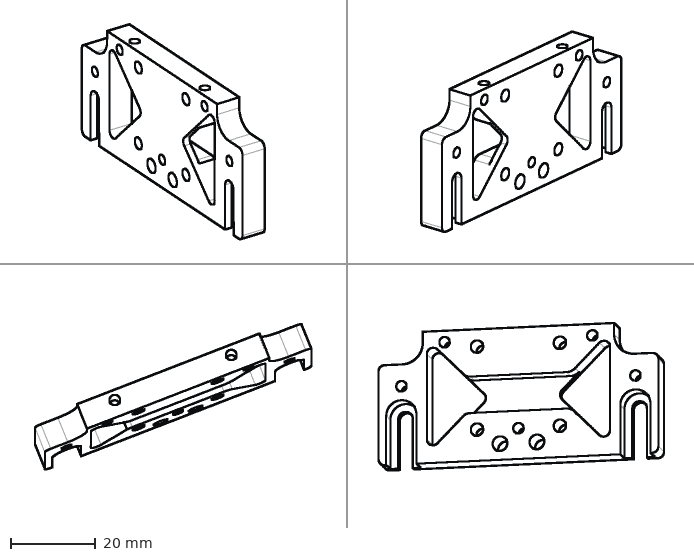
import cadquery as cq
import math

length = 67.5
thickness = 6.35
height = 31.7

body_width = 46.2
ear_height = 24.1
ear_corner_radius = 1.5
shoulder_radius = 4.85

ear_hole_x = 28.2
ear_hole_z = 18.85
slot_width = 3.5
slot_top = 13.6

web_thickness = 1.8
slot_recess_width = 7.3
channel_height = 8.8
channel_edge_radius = 3.0

window_outer_x = 22.1
left_window_tip_x = 8.45
right_window_tip_x = 8.25
window_center_z = 16.0
window_corner_radius = 1.5

small_diameter = 2.5
medium_diameter = 3.0
large_diameter = 3.5
upper_hole_x = 17.8
upper_hole_z = 28.95
pattern_pitch = 20.0
pattern_bottom_z = 7.55
center_hole_z = 7.4
lower_hole_x = 4.45
lower_hole_z = 3.9

top_hole_spacing = 29.5
top_hole_center_x = -0.3
top_hole_y = 2.35
top_hole_depth = 6.75


def front_plane(front_y=0):
    """Sketch plane facing the front; negative distances extrude towards the rear."""
    return cq.Workplane("XZ", origin=(0, front_y, 0))


def make_plate():
    """Tall body with lower rounded ears, blended by concave shoulders."""
    ears = front_plane().rect(length, ear_height).extrude(-thickness)
    ears = ears.translate((0, 0, ear_height / 2))
    ears = ears.edges("|Y").fillet(ear_corner_radius)
    body = front_plane().rect(body_width, height).extrude(-thickness)
    body = body.translate((0, 0, height / 2))
    plate = ears.union(body)
    half_body = body_width / 2
    margin = 0.7
    inner_corners = cq.selectors.BoxSelector(
        (-half_body - margin, -margin, ear_height - margin),
        (half_body + margin, thickness + margin, ear_height + margin),
    )
    return plate.edges("|Y").edges(inner_corners).fillet(shoulder_radius)


def make_slot(side, width, front_y):
    """Round-topped slot open at the bottom, running from front_y to the rear face."""
    radius = width / 2
    straight_top = slot_top - slot_width / 2
    arc_top = straight_top + radius
    center_x = side * ear_hole_x
    return (
        front_plane(front_y)
        .moveTo(center_x - radius, 0)
        .lineTo(center_x - radius, straight_top)
        .threePointArc((center_x, arc_top), (center_x + radius, straight_top))
        .lineTo(center_x + radius, 0)
        .close()
        .extrude(front_y - thickness)
    )


def make_window(side, tip_x):
    half_height = window_outer_x - tip_x
    corners = [
        (side * window_outer_x, window_center_z - half_height),
        (side * window_outer_x, window_center_z + half_height),
        (side * tip_x, window_center_z),
    ]
    window = front_plane().polyline(corners).close().extrude(-thickness)
    return window.edges("|Y").fillet(window_corner_radius)


def make_channel():
    """Rear channel joining the windows, flaring along arcs tangent to their 45 degree sides."""
    half_height = channel_height / 2
    radius = channel_edge_radius
    half_turn = math.pi / 8
    corner_x = left_window_tip_x + half_height
    tangent_length = radius * math.tan(half_turn)
    flat_end_x = corner_x - tangent_length
    slope_run = tangent_length * math.sqrt(0.5)
    arc_center_z = half_height + radius
    mid_x = flat_end_x + radius * math.sin(half_turn)
    mid_z = arc_center_z - radius * math.cos(half_turn)
    flare_x = corner_x + slope_run
    flare_z = half_height + slope_run
    return (
        front_plane(web_thickness)
        .center(0, window_center_z)
        .moveTo(-flat_end_x, half_height)
        .lineTo(flat_end_x, half_height)
        .threePointArc((mid_x, mid_z), (flare_x, flare_z))
        .lineTo(flare_x, -flare_z)
        .threePointArc((mid_x, -mid_z), (flat_end_x, -half_height))
        .lineTo(-flat_end_x, -half_height)
        .threePointArc((-mid_x, -mid_z), (-flare_x, -flare_z))
        .lineTo(-flare_x, flare_z)
        .threePointArc((-mid_x, mid_z), (-flat_end_x, half_height))
        .close()
        .extrude(web_thickness - thickness)
    )


def make_holes(diameter, centers):
    return front_plane().pushPoints(centers).circle(diameter / 2).extrude(-thickness)


small_centers = [(0, center_hole_z)]
medium_centers = []
large_centers = []
result = make_plate()
for side in (-1, 1):
    small_centers.append((side * ear_hole_x, ear_hole_z))
    small_centers.append((side * upper_hole_x, upper_hole_z))
    medium_centers.append((side * pattern_pitch / 2, pattern_bottom_z))
    medium_centers.append((side * pattern_pitch / 2, pattern_bottom_z + pattern_pitch))
    large_centers.append((side * lower_hole_x, lower_hole_z))
    result = result.cut(make_slot(side, slot_width, 0))
    result = result.cut(make_slot(side, slot_recess_width, web_thickness))

result = result.cut(make_window(-1, left_window_tip_x))
result = result.cut(make_window(1, right_window_tip_x))
result = result.cut(make_channel())
result = result.cut(make_holes(small_diameter, small_centers))
result = result.cut(make_holes(medium_diameter, medium_centers))
result = result.cut(make_holes(large_diameter, large_centers))

top_centers = [
    (top_hole_center_x + side * top_hole_spacing / 2, top_hole_y) for side in (-1, 1)
]
top_holes = (
    cq.Workplane("XY", origin=(0, 0, height))
    .pushPoints(top_centers)
    .circle(small_diameter / 2)
    .extrude(-top_hole_depth)
)
result = result.cut(top_holes)